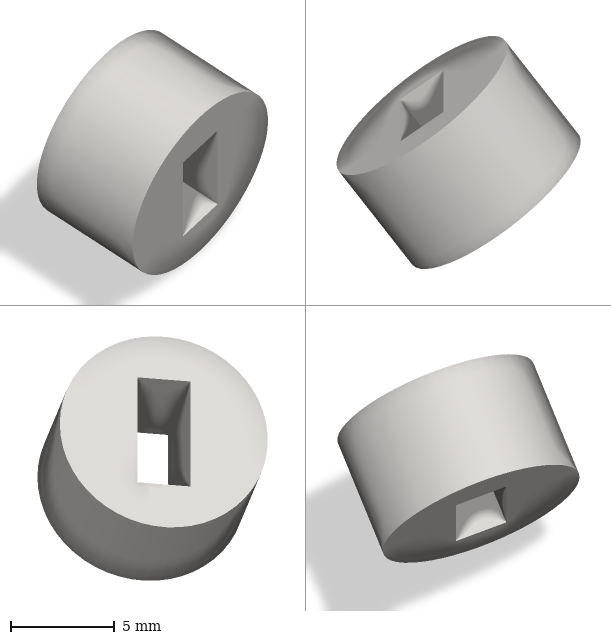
import cadquery as cq

outer_diameter = 10.17
length = 6.0
slot_width = 2.59
slot_height = 5.6

body = cq.Workplane("YZ", origin=(-length / 2, 0, 0)).circle(outer_diameter / 2).extrude(length)

slot = cq.Workplane("XY").box(length, slot_width, slot_height)

result = body.cut(slot)